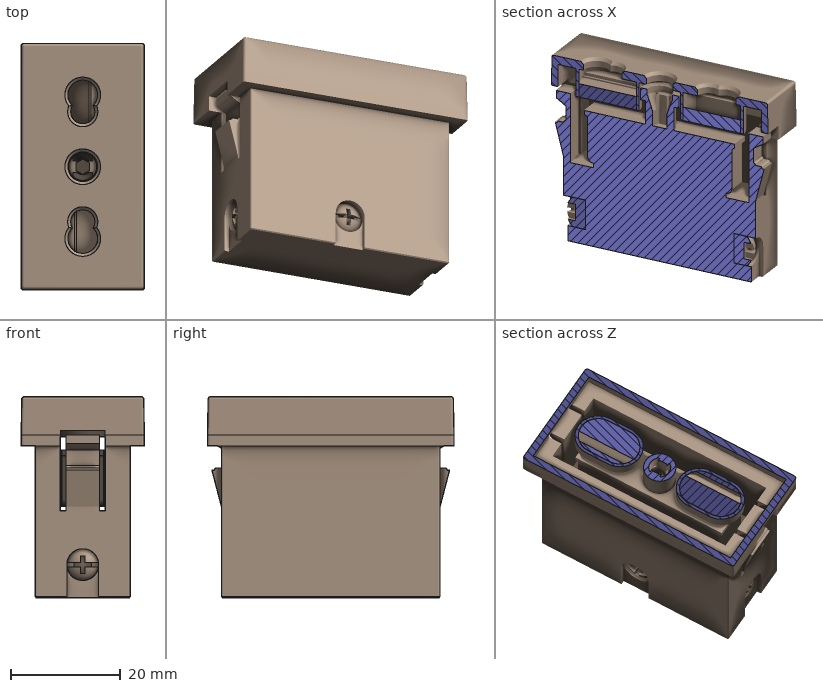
import cadquery as cq
import math

total_height = 36.7
face_width = 22.52
face_length = 45.02
flange_bottom = 27.7
flange_top = 29.75
body_width = 17.4
body_length = 39.9
body_corner_radius = 0.35
body_bottom_chamfer = 0.2
shell_wall = 1.5

cap_draft_angle = 1.0
cap_corner_radius = 0.5
cap_plate_thickness = 1.75
plate_bottom = total_height - cap_plate_thickness

pin_pitch = 13.1
narrow_lobe_pitch = 10.05
entry_chamfer = 0.55
wide_lobe_radius = 2.7
narrow_lobe_radius = 2.2
earth_hole_radius = 2.7
shutter_radius = 3.6
shutter_inner_pitch = 8.5
boss_wall = 0.7
boss_bottom = 29.35

shutter_top = 33.8
trough_high_edge = 1.55
trough_ledge_width = 0.45
trough_far_wall = 2.7
ledge_depth = 0.6
trough_depth = 0.9
trough_tilt = 35.0

latch_width = 6.13
latch_slot_width = 8.13
latch_slot_bottom = 15.9
latch_ramp_bottom = 16.6
latch_tip_height = 23.3
latch_tip_reach = 1.75
latch_shoulder_height = 23.7
latch_shoulder_reach = 0.9
latch_neck_recess = 0.45
latch_neck_fillet = 0.4
latch_head_bottom = 27.0
latch_head_underside = 28.2
latch_head_reach = 1.5
latch_thickness = 1.5
notch_top = 30.5

block_width = 7.74
block_half_length = 15.0
block_bottom = 16.7
block_top = 27.0
block_lip_bottom = 26.0
block_lip_reach = 0.6
block_lip_fillet = 0.5
block_bottom_fillet = 1.2
earth_post_radius = 3.0
earth_head_radius = 4.0
earth_head_height = 2.5
earth_post_top = 34.1
earth_bore_radius = 2.55
earth_bore_depth = 1.2
earth_funnel_radius = 2.5
earth_funnel_slot = 3.5
earth_funnel_depth = 3.0
earth_hex_flats = 2.5
earth_hex_depth = 6.0
earth_bridge_length = 2.1

screw_radius = 2.9
screw_height = 6.05
screw_channel_depth = 0.9
screw_apex_depth = 0.5
screw_pocket_depth = 4.5
dome_rise = 1.3
cross_width = 0.86
cross_length = 3.2
cross_depth = 0.6

end_angles = (0, 180)


def box(width, length, bottom, top):
    """Box centred on the Z axis between two heights."""
    return cq.Workplane("XY").workplane(offset=bottom).rect(width, length).extrude(top - bottom)


def turned(shape, angle):
    """Shape turned about the Z axis."""
    return shape.rotate((0, 0, 0), (0, 0, 1), angle)


def flared_entry(outline_at, bottom):
    """Straight opening below with a 45 degree flare up to the cap's face."""
    flare_bottom = total_height - entry_chamfer
    straight = outline_at(bottom).extrude(flare_bottom - bottom)
    return straight.union(outline_at(flare_bottom).extrude(entry_chamfer, taper=-45))


def wide_lobe(bottom):
    return cq.Workplane("XY", origin=(0, -pin_pitch, bottom)).circle(wide_lobe_radius)


def narrow_lobe(bottom):
    return cq.Workplane("XY", origin=(0, -narrow_lobe_pitch, bottom)).circle(narrow_lobe_radius)


def earth_hole(bottom):
    return cq.Workplane("XY", origin=(0, 0, bottom)).circle(earth_hole_radius)


def shutter_column(radius, bottom, top):
    """Rounded column around the -Y pin entry."""
    length = pin_pitch - shutter_inner_pitch + 2 * radius
    return (
        cq.Workplane("XY", origin=(0, -(pin_pitch + shutter_inner_pitch) / 2, bottom))
        .slot2D(length, 2 * radius, 90)
        .extrude(top - bottom)
    )


def make_cap():
    cap = (
        cq.Workplane("XY", origin=(0, 0, flange_top))
        .rect(face_width, face_length)
        .extrude(total_height - flange_top, taper=cap_draft_angle)
        .edges("not(#Z)").edges("not(|X or |Y)").fillet(cap_corner_radius)
        .faces(">Z").edges().fillet(cap_corner_radius)
    )
    inner_width = face_width - 2 * shell_wall
    inner_length = face_length - 2 * shell_wall
    cap = cap.cut(box(inner_width, inner_length, flange_top, plate_bottom))
    cap = cap.cut(box(latch_slot_width, 2 * face_length, flange_top, notch_top))
    for angle in end_angles:
        boss = shutter_column(shutter_radius + boss_wall, boss_bottom, plate_bottom)
        pocket = shutter_column(shutter_radius, boss_bottom, plate_bottom)
        cap = cap.union(turned(boss.cut(pocket), angle))
        for lobe in (wide_lobe, narrow_lobe):
            cap = cap.cut(turned(flared_entry(lobe, plate_bottom), angle))
    return cap.cut(flared_entry(earth_hole, plate_bottom))


def make_shutter():
    """Block under the -Y pin entry with a stepped trough whose floor slopes down toward +X."""
    block = shutter_column(shutter_radius, boss_bottom, shutter_top)
    ledge_end = trough_ledge_width - trough_high_edge
    floor_drop = (trough_far_wall - ledge_end) * math.tan(math.radians(trough_tilt))
    floor_start = shutter_top - trough_depth
    trough = (
        cq.Workplane("XZ")
        .moveTo(-trough_high_edge, shutter_top)
        .lineTo(-trough_high_edge, shutter_top - ledge_depth)
        .lineTo(ledge_end, shutter_top - ledge_depth)
        .lineTo(ledge_end, floor_start)
        .lineTo(trough_far_wall, floor_start - floor_drop)
        .lineTo(trough_far_wall, shutter_top)
        .close()
        .extrude(face_length / 2)
    )
    return block.cut(trough)


def make_shell():
    """Body with its flange, hollow above the terminals."""
    body = (
        box(body_width, body_length, 0, flange_top)
        .edges("|Z").fillet(body_corner_radius)
        .faces("<Z").edges().chamfer(body_bottom_chamfer)
    )
    flange = box(face_width, face_length, flange_bottom, flange_top).edges("|Z").fillet(cap_corner_radius)
    cavity = box(
        body_width - 2 * shell_wall, body_length - 2 * shell_wall, latch_slot_bottom, flange_top
    )
    slot = box(latch_slot_width, 2 * face_length, latch_slot_bottom, flange_top)
    return body.union(flange).cut(cavity).cut(slot)


def make_latch():
    """Springy tongue of the -Y end wall with a hook and an undercut head."""
    wall = -body_length / 2
    inner_face = wall + latch_thickness
    neck_face = wall + latch_neck_recess
    shoulder = wall - latch_shoulder_reach
    tip = wall - latch_tip_reach
    rounding = latch_shoulder_height - latch_tip_height
    arc_offset = rounding * math.sqrt(0.5)
    return (
        cq.Workplane("YZ", origin=(-latch_width / 2, 0, 0))
        .moveTo(inner_face, latch_slot_bottom)
        .lineTo(wall, latch_slot_bottom)
        .lineTo(wall, latch_ramp_bottom)
        .lineTo(tip, latch_tip_height)
        .lineTo(shoulder - rounding, latch_tip_height)
        .threePointArc(
            (shoulder - arc_offset, latch_tip_height + arc_offset), (shoulder, latch_shoulder_height)
        )
        .lineTo(neck_face - latch_neck_fillet, latch_shoulder_height)
        .radiusArc((neck_face, latch_shoulder_height + latch_neck_fillet), latch_neck_fillet)
        .lineTo(neck_face, latch_head_bottom)
        .lineTo(wall - latch_head_reach, latch_head_underside)
        .lineTo(wall - latch_head_reach, flange_top)
        .lineTo(inner_face, flange_top)
        .close()
        .extrude(latch_width)
    )


def make_contact_block():
    """Block between the latches: lip along its top, rounded bottom edges, standing on a pedestal."""
    lip_end = block_half_length + block_lip_reach
    half_profile = (
        cq.Workplane("YZ", origin=(-block_width / 2, 0, 0))
        .moveTo(0, block_bottom)
        .lineTo(block_half_length - block_bottom_fillet, block_bottom)
        .radiusArc((block_half_length, block_bottom + block_bottom_fillet), -block_bottom_fillet)
        .lineTo(block_half_length, block_lip_bottom - block_lip_fillet)
        .radiusArc((block_half_length + block_lip_fillet, block_lip_bottom), block_lip_fillet)
        .lineTo(lip_end, block_lip_bottom)
        .lineTo(lip_end, block_top)
        .lineTo(0, block_top)
        .close()
        .extrude(block_width)
    )
    pedestal_length = 2 * (block_half_length - block_bottom_fillet)
    pedestal = box(latch_width, pedestal_length, latch_slot_bottom, block_bottom)
    return half_profile.union(turned(half_profile, 180)).union(pedestal)


def make_earth_post():
    """Headed post: a bore, a hexagonal socket in its floor, and half a funnel on either side of it."""
    post = cq.Workplane("XY", origin=(0, 0, block_top)).circle(earth_post_radius)
    post = post.extrude(earth_post_top - block_top)
    head = cq.Workplane("XY", origin=(0, 0, earth_post_top)).circle(earth_head_radius)
    head = head.extrude(-earth_head_height)
    bore = cq.Workplane("XY", origin=(0, 0, earth_post_top)).circle(earth_bore_radius)
    bore = bore.extrude(-earth_bore_depth)

    funnel_top = earth_post_top - earth_bore_depth
    funnel_bottom = funnel_top - earth_funnel_depth
    hex_diameter = earth_hex_flats / math.cos(math.pi / 6)
    cone = cq.Solid.makeCone(
        hex_diameter / 2, earth_funnel_radius, earth_funnel_depth, pnt=cq.Vector(0, 0, funnel_bottom)
    )
    funnel = box(earth_funnel_slot, body_length, funnel_bottom, funnel_top).intersect(cq.Workplane(cone))
    funnel = funnel.cut(box(earth_funnel_slot, earth_bridge_length, funnel_bottom, funnel_top))
    socket = cq.Workplane("XY", origin=(0, 0, funnel_top)).polygon(6, hex_diameter)
    socket = turned(socket.extrude(-earth_hex_depth), 30)
    return post.union(head).cut(bore).cut(funnel).cut(socket)


def make_screw_pocket(wall):
    """Channel and round pocket in a wall facing -Y at the given distance from the middle."""
    channel = (
        cq.Workplane("XZ", origin=(0, -wall, 0))
        .rect(2 * screw_radius, 2 * screw_height)
        .extrude(-screw_channel_depth)
    )
    pocket = (
        cq.Workplane("XZ", origin=(0, -wall, screw_height))
        .circle(screw_radius)
        .extrude(-screw_pocket_depth)
    )
    return channel.union(pocket)


def make_screw(wall):
    """Domed screw, facing -Y, that fills its pocket."""
    apex = screw_apex_depth
    rim = apex + dome_rise
    profile = (
        cq.Workplane("XY")
        .moveTo(0, apex - wall)
        .threePointArc(
            (screw_radius / 2, apex + dome_rise / 4 - wall), (screw_radius, rim - wall))
        .lineTo(screw_radius, screw_pocket_depth - wall)
        .lineTo(0, screw_pocket_depth - wall)
        .close()
    )
    screw = profile.revolve(360, (0, 0, 0), (0, 1, 0)).translate((0, 0, screw_height))
    face = cq.Workplane("XZ", origin=(0, apex - wall, screw_height))
    screw = screw.cut(face.rect(2 * screw_radius, cross_width).extrude(-dome_rise))
    screw = screw.cut(face.rect(cross_length, cross_width).extrude(-dome_rise - cross_depth))
    return screw.cut(face.rect(cross_width, cross_length).extrude(-dome_rise - cross_depth))


terminals = [(body_length / 2, 0), (body_width / 2, -90), (body_length / 2, 180)]

housing = make_shell().union(make_contact_block()).union(make_earth_post())
for angle in end_angles:
    housing = housing.union(turned(make_latch(), angle))
for wall, angle in terminals:
    housing = housing.cut(turned(make_screw_pocket(wall), angle))

cap = make_cap()
shutters = [turned(make_shutter(), angle) for angle in end_angles]
screws = [turned(make_screw(wall), angle) for wall, angle in terminals]

result = cq.Compound.makeCompound(
    [housing.val(), cap.val()] + [shutter.val() for shutter in shutters] + [screw.val() for screw in screws]
)